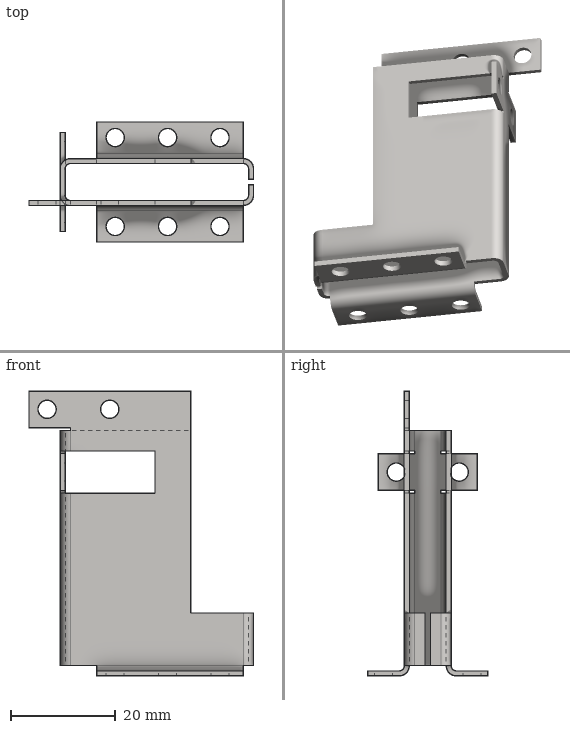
import cadquery as cq


height = 54.5
foot_span = 23.0
sheet = 1.0
bend_inner = 1.0
bend_outer = bend_inner + sheet
hole_diameter = 3.45
hole_edge = 3.5
slit = 0.5

body_length = 37.0
body_depth = 9.0
half_depth = body_depth / 2
body_bottom = bend_outer
lip_gap = 1.0
lip_top = 12.05
wall_length = 25.0

tab_height = 7.05
tab_reach = 6.0
tab_hole_pitch = 12.0
tab_hole_count = 2
spine_top = height - tab_height - slit
ear_top = height - 12.0
ear_bottom = ear_top - tab_height
ear_span = 19.0
window_top = ear_top + slit
window_bottom = ear_bottom - slit
window_end = 18.1

foot_start = 7.0
foot_end = body_length - bend_outer
foot_hole_start = 10.5
foot_hole_pitch = 10.05
foot_hole_count = 3
foot_hole_edge = 3.0


def block(x_range, y_range, z_range):
    """Axis-aligned block spanning three (low, high) ranges."""
    size = [high - low for low, high in (x_range, y_range, z_range)]
    return cq.Workplane("XY").box(*size, centered=False).translate((x_range[0], y_range[0], z_range[0]))


def rounded_prism(inset, radius):
    """Body outline moved inward by inset, with rounded vertical edges."""
    prism = block(
        (inset, body_length - inset),
        (inset - half_depth, half_depth - inset),
        (body_bottom, spine_top),
    )
    return prism.edges("|Z").fillet(radius)


def make_body():
    """Folded channel with a low lipped end and a window through both walls."""
    body = rounded_prism(0, bend_outer).cut(rounded_prism(sheet, bend_inner))
    across = (-half_depth, half_depth)
    step = block((wall_length, body_length), across, (lip_top, spine_top))
    lip_slot = block(
        (body_length - bend_outer, body_length),
        (-lip_gap / 2, lip_gap / 2),
        (body_bottom, lip_top),
    )
    window = block((0, window_end), across, (window_bottom, window_top))
    return body.cut(step).cut(lip_slot).cut(window)


def make_ears():
    """Spine strip through the window, widened into a drilled ear each side."""
    half_flat = half_depth - bend_outer
    strip = block((0, sheet), (-half_flat, half_flat), (window_bottom, window_top))
    ears = block((0, sheet), (-ear_span / 2, ear_span / 2), (ear_bottom, ear_top))
    hole_y = ear_span / 2 - hole_edge
    holes = (
        cq.Workplane("YZ")
        .pushPoints([(side * hole_y, (ear_top + ear_bottom) / 2) for side in (-1, 1)])
        .circle(hole_diameter / 2)
        .extrude(sheet)
    )
    return strip.union(ears).cut(holes)


def make_front_tab():
    """Upward extension of the front wall with a drilled overhanging tab."""
    y_range = (-half_depth, sheet - half_depth)
    neck = block((bend_outer, wall_length), y_range, (spine_top, height - tab_height))
    tab = block((-tab_reach, wall_length), y_range, (height - tab_height, height))
    first_hole = hole_edge - tab_reach
    holes = (
        cq.Workplane("XZ", origin=(0, sheet - half_depth, 0))
        .pushPoints([(first_hole + i * tab_hole_pitch, height - hole_edge) for i in range(tab_hole_count)])
        .circle(hole_diameter / 2)
        .extrude(sheet)
    )
    return neck.union(tab).cut(holes)


def make_foot():
    """Drilled foot bent outward from the bottom of the +Y wall."""
    inside = half_depth - sheet
    bend_y = inside + bend_outer
    tip = foot_span / 2
    diagonal = 0.5 ** 0.5
    profile = (
        cq.Workplane("YZ", origin=(foot_start, 0, 0))
        .moveTo(inside, bend_outer)
        .threePointArc((bend_y - bend_outer * diagonal, bend_outer * (1 - diagonal)), (bend_y, 0))
        .lineTo(tip, 0)
        .lineTo(tip, sheet)
        .lineTo(bend_y, sheet)
        .threePointArc(
            (bend_y - bend_inner * diagonal, bend_outer - bend_inner * diagonal),
            (half_depth, bend_outer),
        )
        .close()
    )
    foot = profile.extrude(foot_end - foot_start)
    holes = (
        cq.Workplane("XY")
        .pushPoints([
            (foot_hole_start + i * foot_hole_pitch, tip - foot_hole_edge)
            for i in range(foot_hole_count)
        ])
        .circle(hole_diameter / 2)
        .extrude(sheet)
    )
    return foot.cut(holes)


back_foot = make_foot()
front_foot = back_foot.mirror("XZ")
result = make_body().union(make_ears()).union(make_front_tab()).union(back_foot).union(front_foot)